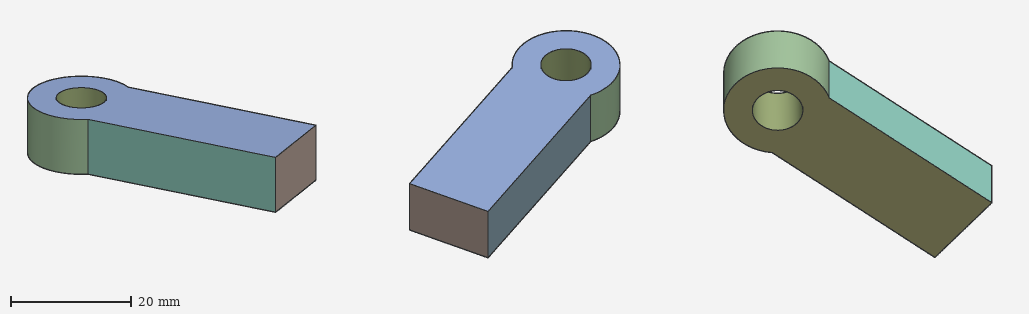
import cadquery as cq

eye_diameter = 18.0
hole_diameter = 8.4
shank_width = 15.0
shank_reach = 40.0
thickness = 10.0


def make_eye():
    """Round end, centred on the Z axis."""
    return cq.Workplane("XY").circle(eye_diameter / 2).extrude(thickness)


def make_shank():
    """Rectangular bar running from the eye axis along +X."""
    return cq.Workplane("XY").box(
        shank_reach, shank_width, thickness, centered=(False, True, False)
    )


def make_hole():
    """Cylinder that pierces the eye through its full thickness."""
    return cq.Workplane("XY").circle(hole_diameter / 2).extrude(thickness)


result = make_eye().union(make_shank()).cut(make_hole())